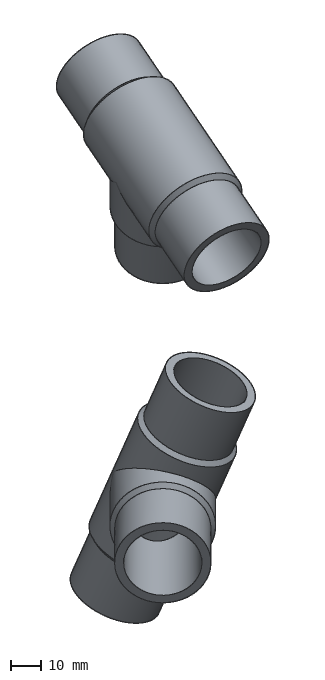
import cadquery as cq

arm_length = 45.0
collar_length = 24.6
collar_diameter = 35.2
spigot_diameter = 32.0
bore_diameter = 26.0
collar_chamfer = (collar_diameter - spigot_diameter) / 2

arm_directions = [(-1, 0, 0), (1, 0, 0), (0, 0, -1)]


def cylinder_from_centre(direction, diameter, length):
    """Cylinder that starts at the origin and extends along direction."""
    plane = cq.Plane(origin=(0, 0, 0), xDir=(0, 1, 0), normal=direction)
    return cq.Workplane(plane).circle(diameter / 2).extrude(length)


def outer_arm(direction):
    """Chamfered collar with a thinner spigot projecting from it."""
    collar = cylinder_from_centre(direction, collar_diameter, collar_length)
    collar = collar.faces(cq.selectors.DirectionMinMaxSelector(cq.Vector(*direction), True))
    collar = collar.chamfer(collar_chamfer)
    return collar.union(cylinder_from_centre(direction, spigot_diameter, arm_length))


body = outer_arm(arm_directions[0])
for direction in arm_directions[1:]:
    body = body.union(outer_arm(direction))

for direction in arm_directions:
    body = body.cut(cylinder_from_centre(direction, bore_diameter, arm_length))

result = body.clean()